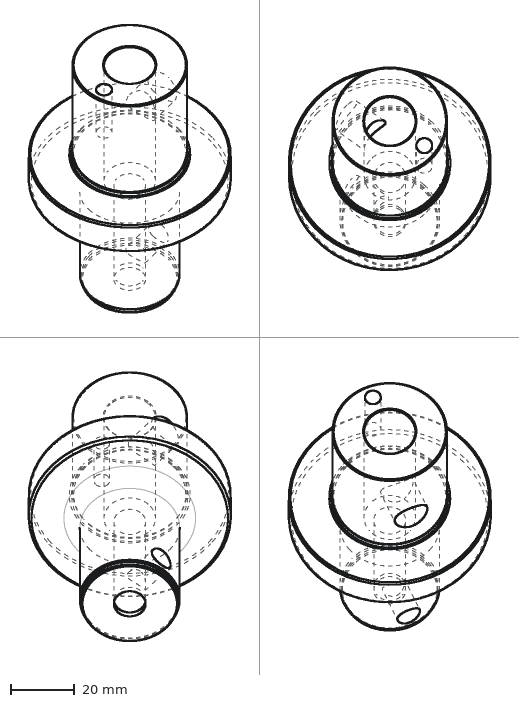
import cadquery as cq
import math

TOTAL_HEIGHT = 96.0
SPIGOT_LENGTH = 40.0
FLANGE_THICKNESS = 12.0
CAP_THICKNESS = 2.0
FLANGE_TOP = TOTAL_HEIGHT - SPIGOT_LENGTH
FLANGE_BOTTOM = FLANGE_TOP - FLANGE_THICKNESS

FLANGE_RADIUS = 63.5 / 2
SPIGOT_RADIUS = 36.0 / 2
SHANK_RADIUS = 31.4 / 2
CAP_RADIUS = 30.2 / 2

SPIGOT_CHAMFER = 0.4
FLANGE_TOP_CHAMFER = 0.6
FLANGE_BOTTOM_CHAMFER = 0.9
SHANK_FILLET = 5.0
SHANK_CHAMFER_HEIGHT = 0.3
CAP_CHAMFER_WIDTH = 0.3
CAP_CHAMFER_HEIGHT = 0.6

RELIEF_HEIGHT = 1.4
RELIEF_DEPTH = 0.24
RELIEF_FILLET = 0.7
RELIEF_NECK_RADIUS = SPIGOT_RADIUS - 0.4
RELIEF_FLOOR_RADIUS = RELIEF_NECK_RADIUS + RELIEF_FILLET
RELIEF_RIM_RADIUS = 19.0

BORE_RADIUS = 8.1
BORE_CHAMFER = 0.3
CHANNEL_RADIUS = 5.0
BORE_BOTTOM = FLANGE_BOTTOM
DRILL_HALF_ANGLE = math.radians(59)
CONE_HEIGHT = (BORE_RADIUS - CHANNEL_RADIUS) / math.tan(DRILL_HALF_ANGLE)

PIN_HOLE_RADIUS = 2.5
PIN_HOLE_OFFSET = 13.5
PIN_HOLE_DEPTH = 19.2

SPIGOT_HOLE_RADIUS = 5.6
SPIGOT_HOLE_HEIGHT = 71.6
SHANK_HOLE_RADIUS = 3.8
SHANK_HOLE_HEIGHT = 8.1


def revolve_profile(profile):
    """Spin a closed (radius, height) outline around the Z axis."""
    return profile.close().revolve(360, (0, 0, 0), (0, 1, 0))


def turned_blank():
    """Shank, flange and spigot, with the relief groove and edge breaks."""
    fillet_middle = SHANK_FILLET * (1 - math.sqrt(0.5))
    relief_middle = RELIEF_FILLET * (1 - math.sqrt(0.5))
    relief_floor = FLANGE_TOP - RELIEF_DEPTH
    return revolve_profile(
        cq.Workplane("XZ")
        .moveTo(0, CAP_THICKNESS)
        .lineTo(CAP_RADIUS, CAP_THICKNESS)
        .lineTo(SHANK_RADIUS, CAP_THICKNESS + SHANK_CHAMFER_HEIGHT)
        .lineTo(SHANK_RADIUS, FLANGE_BOTTOM - SHANK_FILLET)
        .threePointArc(
            (SHANK_RADIUS + fillet_middle, FLANGE_BOTTOM - fillet_middle),
            (SHANK_RADIUS + SHANK_FILLET, FLANGE_BOTTOM),
        )
        .lineTo(FLANGE_RADIUS - FLANGE_BOTTOM_CHAMFER, FLANGE_BOTTOM)
        .lineTo(FLANGE_RADIUS, FLANGE_BOTTOM + FLANGE_BOTTOM_CHAMFER)
        .lineTo(FLANGE_RADIUS, FLANGE_TOP - FLANGE_TOP_CHAMFER)
        .lineTo(FLANGE_RADIUS - FLANGE_TOP_CHAMFER, FLANGE_TOP)
        .lineTo(RELIEF_RIM_RADIUS, FLANGE_TOP)
        .lineTo(RELIEF_FLOOR_RADIUS, relief_floor)
        .threePointArc(
            (RELIEF_NECK_RADIUS + relief_middle, relief_floor + relief_middle),
            (RELIEF_NECK_RADIUS, relief_floor + RELIEF_FILLET),
        )
        .lineTo(SPIGOT_RADIUS, FLANGE_TOP + RELIEF_HEIGHT)
        .lineTo(SPIGOT_RADIUS, TOTAL_HEIGHT - SPIGOT_CHAMFER)
        .lineTo(SPIGOT_RADIUS - SPIGOT_CHAMFER, TOTAL_HEIGHT)
        .lineTo(0, TOTAL_HEIGHT)
    )


def axial_bore():
    """Chamfered bore with a conical floor that leads into the channel."""
    return revolve_profile(
        cq.Workplane("XZ")
        .moveTo(0, 0)
        .lineTo(CHANNEL_RADIUS, 0)
        .lineTo(CHANNEL_RADIUS, BORE_BOTTOM - CONE_HEIGHT)
        .lineTo(BORE_RADIUS, BORE_BOTTOM)
        .lineTo(BORE_RADIUS, TOTAL_HEIGHT - BORE_CHAMFER)
        .lineTo(BORE_RADIUS + BORE_CHAMFER, TOTAL_HEIGHT)
        .lineTo(0, TOTAL_HEIGHT)
    )


def pin_hole():
    """Blind hole with a conical drill point."""
    floor = TOTAL_HEIGHT - PIN_HOLE_DEPTH
    point_height = PIN_HOLE_RADIUS / math.tan(DRILL_HALF_ANGLE)
    return revolve_profile(
        cq.Workplane("XZ")
        .moveTo(0, floor - point_height)
        .lineTo(PIN_HOLE_RADIUS, floor)
        .lineTo(PIN_HOLE_RADIUS, TOTAL_HEIGHT)
        .lineTo(0, TOTAL_HEIGHT)
    ).translate((0, -PIN_HOLE_OFFSET, 0))


def radial_hole(radius, height):
    """Hole from the axis out through the +Y side."""
    return (
        cq.Workplane("XZ", origin=(0, 0, height))
        .circle(radius)
        .extrude(-FLANGE_RADIUS)
    )


def make_holder():
    return (
        turned_blank()
        .cut(axial_bore())
        .cut(pin_hole())
        .cut(radial_hole(SPIGOT_HOLE_RADIUS, SPIGOT_HOLE_HEIGHT))
        .cut(radial_hole(SHANK_HOLE_RADIUS, SHANK_HOLE_HEIGHT))
    )


def make_end_cap():
    """Ring that closes the shank end, with the channel through it."""
    return revolve_profile(
        cq.Workplane("XZ")
        .moveTo(CHANNEL_RADIUS, 0)
        .lineTo(CAP_RADIUS - CAP_CHAMFER_WIDTH, 0)
        .lineTo(CAP_RADIUS, CAP_CHAMFER_HEIGHT)
        .lineTo(CAP_RADIUS, CAP_THICKNESS)
        .lineTo(CHANNEL_RADIUS, CAP_THICKNESS)
    )


holder = make_holder()
end_cap = make_end_cap()

result = cq.Compound.makeCompound([holder.val(), end_cap.val()])